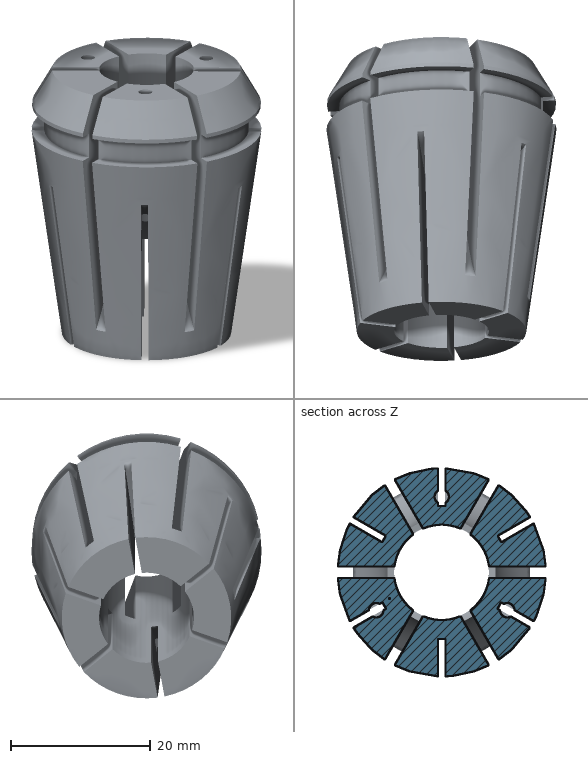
import cadquery as cq
import math

length = 40.0
max_diameter = 33.0
max_radius = max_diameter / 2
bore_radius = 6.8
taper_angle = 8.0
head_angle = 30.0
body_height = 30.9
groove_radius = 14.7
groove_top = 34.5
rim_height = 0.55
rim_radius = 16.4

slots_per_end = 6
slot_pitch = 360.0 / slots_per_end
head_slot_width = 1.55
tail_slot_width = 1.0
saw_radius = 28.0
head_saw_height = 20.0
ledge_radius = 7.7
ledge_angle = 11.0
tail_saw_distance = 29.9
tail_saw_height = 0.8
clearance = 2.0
inside = bore_radius - clearance
outside = max_radius + clearance

hole_count = 3
hole_diameter = 2.0
hole_circle_radius = 9.8
hole_tilt = 3.0
hole_depth = 20.8


def taper_radius(height):
    """Outer radius of the tapered body at a height."""
    return max_radius - (body_height - height) * math.tan(math.radians(taper_angle))


def make_blank():
    """Turned body with its bore."""
    rim_top = groove_top + rim_height
    face_radius = rim_radius - (length - rim_top) * math.tan(math.radians(head_angle))
    profile = [
        (bore_radius, 0),
        (taper_radius(0), 0),
        (max_radius, body_height),
        (groove_radius, body_height),
        (groove_radius, groove_top),
        (rim_radius, groove_top),
        (rim_radius, rim_top),
        (face_radius, length),
        (bore_radius, length),
    ]
    return cq.Workplane("XZ").polyline(profile).close().revolve(360, (0, 0, 0), (0, 1, 0))


def saw_drop(offset):
    """Distance from the saw centre to the saw edge along Z, at a sideways offset from the centre."""
    return math.sqrt(saw_radius**2 - offset**2)


def head_slot_cutter():
    """Radial slot along +X, open at the head, with a curved run-out low on the body."""
    above = length + clearance
    saw_distance = ledge_radius + saw_radius
    middle = (ledge_radius + outside) / 2
    middle_height = head_saw_height - saw_drop(saw_distance - middle)
    outer_height = head_saw_height - saw_drop(saw_distance - outside)
    inner_height = head_saw_height - (ledge_radius - inside) * math.tan(math.radians(ledge_angle))
    return (
        cq.Workplane("XZ")
        .moveTo(inside, above)
        .lineTo(outside, above)
        .lineTo(outside, outer_height)
        .threePointArc((middle, middle_height), (ledge_radius, head_saw_height))
        .lineTo(inside, inner_height)
        .close()
        .extrude(head_slot_width / 2, both=True)
    )


def tail_slot_cutter():
    """Radial slot along +X, open at the tail, with a curved roof that rises outwards."""
    below = -clearance
    middle = (inside + outside) / 2
    inner_height = tail_saw_height + saw_drop(tail_saw_distance - inside)
    middle_height = tail_saw_height + saw_drop(tail_saw_distance - middle)
    outer_height = tail_saw_height + saw_drop(tail_saw_distance - outside)
    return (
        cq.Workplane("XZ")
        .moveTo(inside, below)
        .lineTo(inside, inner_height)
        .threePointArc((middle, middle_height), (outside, outer_height))
        .lineTo(outside, below)
        .close()
        .extrude(tail_slot_width / 2, both=True)
    )


def hole_cutter():
    """Flat-ended hole over +X, leaning away from the axis as it goes down."""
    return (
        cq.Workplane("XY")
        .circle(hole_diameter / 2)
        .extrude(hole_depth + clearance)
        .translate((0, 0, -hole_depth))
        .rotate((0, 0, 0), (0, 1, 0), -hole_tilt)
        .translate((hole_circle_radius, 0, length))
    )


def cut_around(part, cutter, count, first_angle):
    """Cut evenly spaced copies of a cutter about Z."""
    cutters = cq.Workplane("XY")
    for index in range(count):
        angle = first_angle + index * 360.0 / count
        cutters = cutters.add(cutter.rotate((0, 0, 0), (0, 0, 1), angle))
    return part.cut(cutters.combine())


tail_slot_angle = slot_pitch / 2
hole_angle = tail_slot_angle + slot_pitch

result = make_blank()
result = cut_around(result, head_slot_cutter(), slots_per_end, 0)
result = cut_around(result, tail_slot_cutter(), slots_per_end, tail_slot_angle)
result = cut_around(result, hole_cutter(), hole_count, hole_angle).solids()